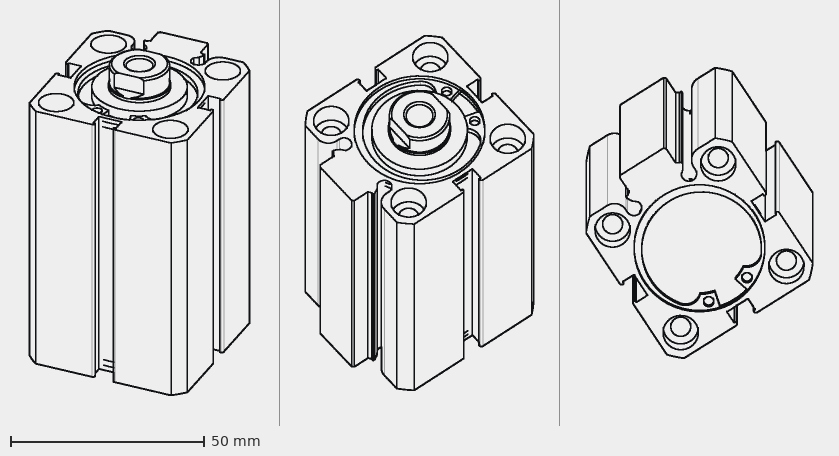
import cadquery as cq
import math

total_height = 83.0
rod_projection = 7.0
housing_height = total_height - rod_projection
body_width = 45.0
half_width = body_width / 2
corner_radius = 29.6

bore_radius = 16.9
groove_radius = 17.9
ring_top_depth = 1.3
ring_thickness = 1.7
cover_depth = ring_top_depth + ring_thickness
ring_bottoms = (ring_top_depth, housing_height - cover_depth)

mount_spacing = 32.5
mount_radius = 2.6
counterbore_radius = 4.6
counterbore_depth = 6.3

slot_mouth_width = 5.3
slot_inner_width = 6.5
slot_lip = 0.9
slot_mouth_fillet = 0.6
slot_floor = 18.1

rail_top = 27.5
rail_half_width = 7.1
rail_chamfer = 0.5
lip_half_width = 8.55
lip_top = 21.9
lip_bottom = 21.3
lip_slope_width = 8.0
neck_half_width = 7.8
neck_y = 20.0
channel_x = 8.5
channel_y = 18.2
channel_radius = 2.0
channel_start_angle = 25.0
shoulder_radius = 3.5

cover_thickness = 11.6
boss_radius = 12.4
boss_height = cover_depth

ring_opening_radius = 15.5
ring_opening_y = -1.0
lug_inner_radius = 12.6
lug_corner_radius = 4.0
lug_corner_angle = 54.0
lug_end_angle = 32.0
gap_half_angle = 14.5
plier_hole_radius = 1.3
plier_hole_x = 5.9
plier_hole_y = -13.5

rod_radius = 8.05
rod_end_radius = 7.8
rod_step_height = 1.2
rod_end_chamfer = 0.6
flat_half_width = 6.55
flat_height = 2.3
thread_radius = 3.5
thread_mouth_radius = 4.1
thread_depth = 13.3
drill_half_angle = 59.0


def cylinder(radius, bottom, top):
    """Solid cylinder on the bore axis between two heights."""
    return cq.Workplane("XY").workplane(offset=bottom).circle(radius).extrude(top - bottom)


def polar_from_minus_y(radius, angle, center_y=0.0):
    """Point at an angle in degrees from the -Y direction, positive toward +X."""
    turn = math.radians(angle)
    return (radius * math.sin(turn), center_y - radius * math.cos(turn))


def mirrored(point):
    """The point reflected across the YZ plane."""
    return (-point[0], point[1])


def body_profile():
    """Square body with its corners rounded by one large circle about the bore axis."""
    square = cq.Workplane("XY").rect(body_width, body_width).extrude(housing_height)
    return square.intersect(cylinder(corner_radius, 0, housing_height))


def channel_cut():
    """Material removed on the +X side of the rail: relief channel and rounded shoulder."""
    start = math.radians(channel_start_angle)
    channel_start = (
        channel_x + channel_radius * math.cos(math.pi - start),
        channel_y + channel_radius * math.sin(math.pi - start),
    )
    channel_bottom = (channel_x, channel_y - channel_radius)
    channel_end = (channel_x + channel_radius, channel_y)
    shoulder_x = channel_end[0] + shoulder_radius
    shoulder_y = half_width - shoulder_radius
    diagonal = shoulder_radius * math.sqrt(0.5)
    return (
        cq.Workplane("XY")
        .moveTo(rail_half_width, half_width)
        .lineTo(lip_slope_width, lip_top)
        .lineTo(lip_half_width, lip_top)
        .lineTo(lip_half_width, lip_bottom)
        .lineTo(neck_half_width, neck_y)
        .lineTo(*channel_start)
        .threePointArc(channel_bottom, channel_end)
        .lineTo(channel_end[0], shoulder_y)
        .threePointArc((shoulder_x - diagonal, shoulder_y + diagonal), (shoulder_x, half_width))
        .close()
        .extrude(housing_height)
    )


def rail():
    """Upright block with two chamfered edges on the +Y side of the body."""
    depth = rail_top - half_width
    return (
        cq.Workplane("XY")
        .center(0, half_width + depth / 2)
        .rect(2 * rail_half_width, depth)
        .extrude(housing_height)
        .edges("|Z and >Y")
        .chamfer(rail_chamfer)
    )


def slot_cut(angle):
    """T-slot along the full height with a rounded mouth, turned about the bore axis from the +X side."""
    inner = slot_inner_width / 2
    mouth = slot_mouth_width / 2
    lip_inside = half_width - slot_lip
    round_start = half_width - slot_mouth_fillet
    round_end = mouth + slot_mouth_fillet
    round_middle_x = round_start + slot_mouth_fillet * math.sqrt(0.5)
    round_middle_y = round_end - slot_mouth_fillet * math.sqrt(0.5)
    slot = (
        cq.Workplane("XY")
        .moveTo(slot_floor, -inner)
        .lineTo(lip_inside, -inner)
        .lineTo(lip_inside, -mouth)
        .lineTo(round_start, -mouth)
        .threePointArc((round_middle_x, -round_middle_y), (half_width, -round_end))
        .lineTo(half_width, round_end)
        .threePointArc((round_middle_x, round_middle_y), (round_start, mouth))
        .lineTo(lip_inside, mouth)
        .lineTo(lip_inside, inner)
        .lineTo(slot_floor, inner)
        .close()
        .extrude(housing_height)
    )
    return slot.rotate((0, 0, 0), (0, 0, 1), angle)


def hole_pattern(radius, bottom, height):
    """Four cylinders at the mounting hole positions."""
    return (
        cq.Workplane("XY")
        .workplane(offset=bottom)
        .rect(mount_spacing, mount_spacing, forConstruction=True)
        .vertices()
        .circle(radius)
        .extrude(height)
    )


def mount_holes():
    """Four through holes with a counterbore at each end."""
    through = hole_pattern(mount_radius, 0, housing_height)
    lower = hole_pattern(counterbore_radius, 0, counterbore_depth)
    upper = hole_pattern(counterbore_radius, housing_height - counterbore_depth, counterbore_depth)
    return through.union(lower).union(upper)


def make_housing():
    right_channel = channel_cut()
    housing = body_profile().cut(right_channel).cut(right_channel.mirror("YZ")).union(rail())
    for angle in (0, 180, 270):
        housing = housing.cut(slot_cut(angle))
    housing = housing.cut(mount_holes()).cut(cylinder(bore_radius, 0, housing_height))
    for groove_bottom in ring_bottoms:
        housing = housing.cut(cylinder(groove_radius, groove_bottom, groove_bottom + ring_thickness))
    return housing


def make_rod_cover():
    """Front cover: disc below the ring, boss flush with the housing, hole for the rod."""
    disc_top = housing_height - cover_depth
    disc = cylinder(bore_radius, disc_top - cover_thickness, disc_top)
    boss = cylinder(boss_radius, disc_top, disc_top + boss_height)
    return disc.union(boss).cut(cylinder(rod_radius, 0, housing_height))


def make_end_cover():
    """Plain disc that closes the lower end of the bore."""
    return cylinder(bore_radius, cover_depth, cover_depth + cover_thickness)


def make_ring(bottom):
    """Internal retaining ring with two plier lugs beside its gap on the -Y side."""
    plane = cq.Workplane("XY").workplane(offset=bottom)

    corner = polar_from_minus_y(ring_opening_radius - lug_corner_radius, lug_corner_angle, ring_opening_y)
    tangent = polar_from_minus_y(ring_opening_radius, lug_corner_angle, ring_opening_y)
    corner_low = (corner[0], corner[1] - lug_corner_radius)
    lug_end = polar_from_minus_y(lug_inner_radius, lug_end_angle)
    opening = (
        plane.moveTo(*tangent)
        .threePointArc((0, ring_opening_y + ring_opening_radius), mirrored(tangent))
        .threePointArc(mirrored(corner_low), mirrored(lug_end))
        .threePointArc((0, -lug_inner_radius), lug_end)
        .threePointArc(corner_low, tangent)
        .close()
        .extrude(ring_thickness)
    )

    gap_reach = groove_radius / math.cos(math.radians(gap_half_angle))
    gap_corner = polar_from_minus_y(gap_reach, gap_half_angle)
    gap = plane.polyline([(0, 0), gap_corner, mirrored(gap_corner)]).close().extrude(ring_thickness)
    plier_points = [(-plier_hole_x, plier_hole_y), (plier_hole_x, plier_hole_y)]
    plier_holes = plane.pushPoints(plier_points).circle(plier_hole_radius).extrude(ring_thickness)

    disc = cylinder(groove_radius, bottom, bottom + ring_thickness)
    return disc.cut(opening).cut(gap).cut(plier_holes)


def flat_cut():
    """Wrench flat on the +Y side; below its lower edge the cut runs outward at 45 degrees."""
    reach = rod_radius - flat_half_width
    lower_edge = housing_height + flat_height
    return (
        cq.Workplane("YZ")
        .moveTo(flat_half_width, total_height)
        .lineTo(flat_half_width, lower_edge)
        .lineTo(rod_radius, lower_edge - reach)
        .lineTo(rod_radius, total_height)
        .close()
        .extrude(rod_radius, both=True)
    )


def thread_hole():
    """Blind hole with a 45 degree mouth and a conical drill point, as a revolved half section."""
    hole_bottom = total_height - thread_depth
    point_depth = thread_radius / math.tan(math.radians(drill_half_angle))
    mouth_depth = thread_mouth_radius - thread_radius
    half_section = [
        (0, total_height),
        (thread_mouth_radius, total_height),
        (thread_radius, total_height - mouth_depth),
        (thread_radius, hole_bottom),
        (0, hole_bottom - point_depth),
    ]
    return cq.Workplane("XZ").polyline(half_section).close().revolve(360, (0, 0), (0, 1))


def make_rod():
    """Rod from the end cover up through the rod cover, with flats and a threaded hole."""
    rod_bottom = cover_depth + cover_thickness
    step_top = housing_height + rod_step_height
    step_bottom = step_top - (rod_radius - rod_end_radius)
    half_section = [
        (0, rod_bottom),
        (rod_radius, rod_bottom),
        (rod_radius, step_bottom),
        (rod_end_radius, step_top),
        (rod_end_radius, total_height - rod_end_chamfer),
        (rod_end_radius - rod_end_chamfer, total_height),
        (0, total_height),
    ]
    rod = cq.Workplane("XZ").polyline(half_section).close().revolve(360, (0, 0), (0, 1))
    flat = flat_cut()
    return rod.cut(flat).cut(flat.mirror("XZ")).cut(thread_hole())


housing = make_housing()
rod_cover = make_rod_cover()
end_cover = make_end_cover()
rod = make_rod()
rings = [make_ring(bottom) for bottom in ring_bottoms]

result = cq.Compound.makeCompound(
    [housing.val(), rod_cover.val(), end_cover.val(), rod.val(), *[ring.val() for ring in rings]]
)